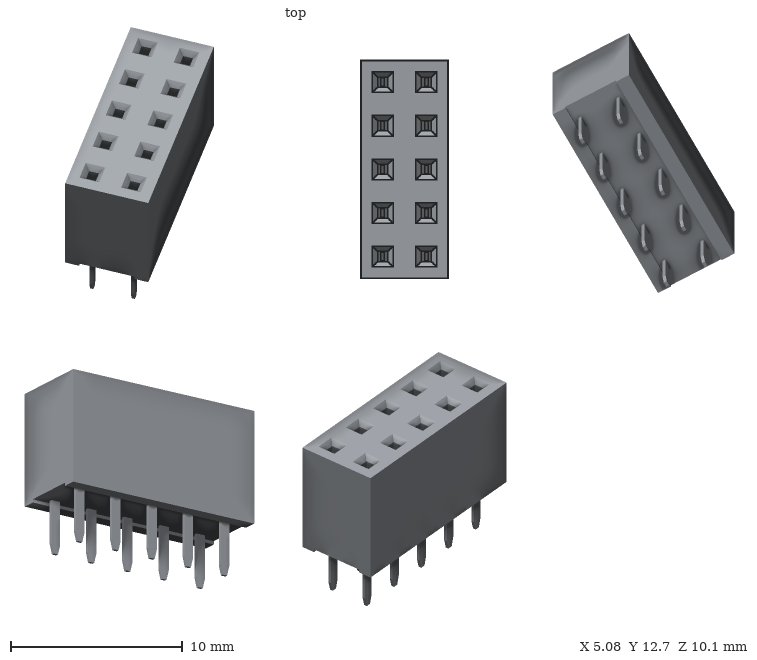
import cadquery as cq

pitch = 2.54
columns = 2
rows = 5

body_x = columns * pitch
body_y = rows * pitch
body_height = 7.0

channel_width = 3.38
channel_depth = 0.2

funnel_mouth = 1.2
funnel_depth = 0.3
well_width = 0.6
well_depth = 6.0

pin_thickness = 0.2
pin_width = 0.6
pin_drop = 3.1
pin_tip_width = 0.3
pin_taper_height = 0.6
contact_width = 0.5
contact_rise = 0.5

well_floor_z = body_height - well_depth
contact_top_z = well_floor_z + contact_rise


def make_housing():
    housing = cq.Workplane("XY").box(body_x, body_y, body_height, centered=(True, True, False))
    channel = cq.Workplane("XY").box(channel_width, body_y, channel_depth, centered=(True, True, False))
    return housing.cut(channel)


def make_socket():
    """Volume removed for one socket, centred on the Z axis."""
    funnel = (
        cq.Workplane("XY", origin=(0, 0, body_height))
        .rect(funnel_mouth, funnel_mouth)
        .workplane(offset=-funnel_depth)
        .rect(well_width, well_width)
        .loft(ruled=True)
    )
    well = (
        cq.Workplane("XY", origin=(0, 0, well_floor_z))
        .rect(well_width, well_width)
        .extrude(well_depth - funnel_depth)
    )
    return funnel.union(well)


def make_pin():
    """One pin with its contact, centred on the Z axis."""
    taper_top_z = pin_taper_height - pin_drop
    outline = [
        (-pin_width / 2, well_floor_z),
        (-contact_width / 2, well_floor_z),
        (-contact_width / 2, contact_top_z),
        (contact_width / 2, contact_top_z),
        (contact_width / 2, well_floor_z),
        (pin_width / 2, well_floor_z),
        (pin_width / 2, taper_top_z),
        (pin_tip_width / 2, -pin_drop),
        (-pin_tip_width / 2, -pin_drop),
        (-pin_width / 2, taper_top_z),
    ]
    return cq.Workplane("YZ").polyline(outline).close().extrude(pin_thickness / 2, both=True)


socket = make_socket()
pin = make_pin()
result = make_housing()

for column in range(columns):
    for row in range(rows):
        x = (column - (columns - 1) / 2) * pitch
        y = (row - (rows - 1) / 2) * pitch
        result = result.cut(socket.translate((x, y, 0)))
        result = result.union(pin.translate((x, y, 0)))